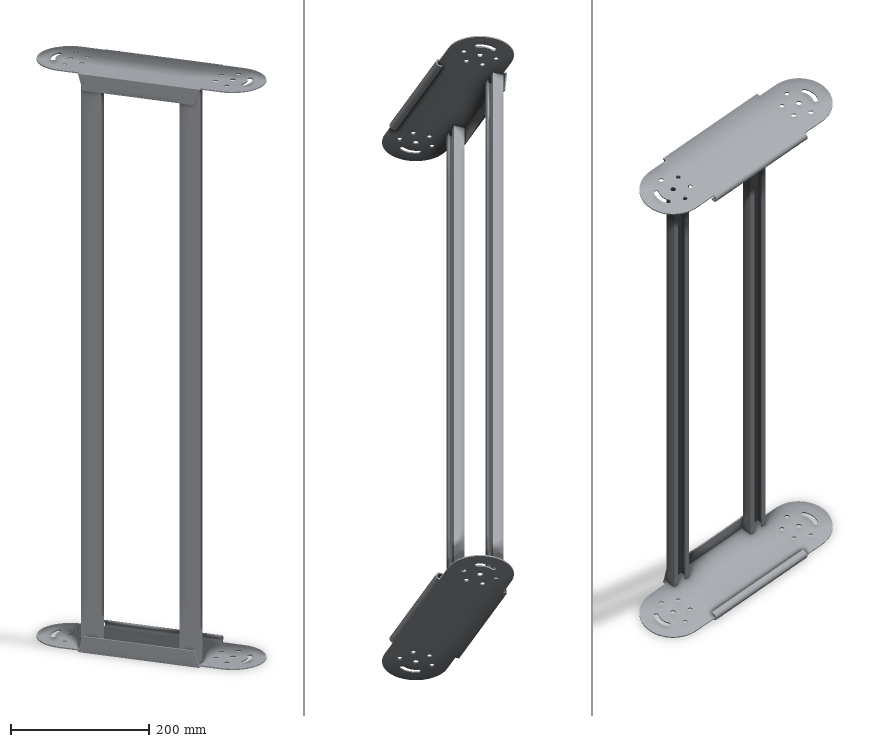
import cadquery as cq
import math

frame_length = 348.0
frame_depth = 110.0
frame_height = 899.0
sheet = 2.0
front_y = -frame_depth / 2
rear_y = frame_depth / 2

plate_width = 98.0
plate_end_x = (frame_length - plate_width) / 2

flange_root_width = 187.0
flange_tip_width = 173.0
flange_height = 25.0
flange_corner_radius = 3.0

hook_width = 182.0
hook_height = 12.0
hook_depth = 10.0
hook_bend_radius = 5.0

centre_hole_diameter = 8.0
small_hole_diameter = 6.7
hole_circle_radius = 25.0
small_hole_angles = (-90, -30, 30, 90)
slot_width = 7.0
slot_half_angle = 30

uprights_span = 182.0
upright_width = 30.0
upright_depth = 16.0
upright_lip = 7.0
flange_gap = 3.0
end_gap = 1.0


def flange():
    """Square-cornered ledge on the plate's front edge with a tapered wall hanging from it."""
    ledge = (
        cq.Workplane("XY")
        .box(flange_root_width, -front_y, sheet, centered=(True, False, False))
        .translate((0, front_y, -sheet))
    )
    wall = (
        cq.Workplane("XZ", origin=(0, front_y, 0))
        .polyline([
            (-flange_root_width / 2, 0),
            (flange_root_width / 2, 0),
            (flange_tip_width / 2, -flange_height),
            (-flange_tip_width / 2, -flange_height),
        ])
        .close()
        .extrude(-sheet)
        .edges("|Y and <Z")
        .fillet(flange_corner_radius)
    )
    return ledge.union(wall)


def hook():
    """Rear lip folded down from the plate and then forward under it."""
    inner_radius = hook_bend_radius - sheet
    bend_y = rear_y - hook_bend_radius
    lower_bend_z = hook_bend_radius - hook_height
    tip_y = rear_y - hook_depth
    return (
        cq.Workplane("YZ")
        .moveTo(0, 0)
        .lineTo(bend_y, 0)
        .radiusArc((rear_y, -hook_bend_radius), hook_bend_radius)
        .lineTo(rear_y, lower_bend_z)
        .radiusArc((bend_y, -hook_height), hook_bend_radius)
        .lineTo(tip_y, -hook_height)
        .lineTo(tip_y, sheet - hook_height)
        .lineTo(bend_y, sheet - hook_height)
        .radiusArc((rear_y - sheet, lower_bend_z), -inner_radius)
        .lineTo(rear_y - sheet, -hook_bend_radius)
        .radiusArc((bend_y, -sheet), -inner_radius)
        .lineTo(0, -sheet)
        .close()
        .extrude(hook_width / 2, both=True)
    )


def around_end(radius, angle):
    """Point at a radius and angle (degrees) around the centre of the left rounded end."""
    turn = math.radians(angle)
    return (-plate_end_x + radius * math.cos(turn), radius * math.sin(turn))


def round_holes():
    """Cutters for the centre hole and the small holes of the left rounded end."""
    centre_hole = (
        cq.Workplane("XY")
        .center(-plate_end_x, 0)
        .circle(centre_hole_diameter / 2)
        .extrude(-sheet)
    )
    small_holes = (
        cq.Workplane("XY")
        .pushPoints([around_end(hole_circle_radius, angle) for angle in small_hole_angles])
        .circle(small_hole_diameter / 2)
        .extrude(-sheet)
    )
    return centre_hole.union(small_holes)


def curved_slot():
    """Cutter for the arc slot on the hole circle, on the outer side of the left rounded end."""
    end_radius = slot_width / 2
    outer = hole_circle_radius + end_radius
    inner = hole_circle_radius - end_radius
    start = 180 - slot_half_angle
    stop = 180 + slot_half_angle
    return (
        cq.Workplane("XY")
        .moveTo(*around_end(outer, start))
        .threePointArc(around_end(outer, 180), around_end(outer, stop))
        .radiusArc(around_end(inner, stop), -end_radius)
        .threePointArc(around_end(inner, 180), around_end(inner, start))
        .radiusArc(around_end(outer, start), -end_radius)
        .close()
        .extrude(-sheet)
    )


def end_plate():
    """Upper end plate with its outer face at the top of the frame."""
    blank = cq.Workplane("XY").slot2D(frame_length, plate_width).extrude(-sheet)
    holes = round_holes().union(curved_slot())
    plate = blank.union(flange()).union(hook()).cut(holes).cut(holes.mirror("YZ"))
    return plate.translate((0, 0, frame_height / 2))


def upright(side):
    """Lipped channel between the end plates; side is -1 for left and 1 for right."""
    half_height = frame_height / 2 - sheet - end_gap
    centre_x = side * (uprights_span - upright_width) / 2
    channel_front_y = front_y + sheet + flange_gap
    channel_rear_y = channel_front_y + upright_depth
    tube = (
        cq.Workplane("XY")
        .center(centre_x, (channel_front_y + channel_rear_y) / 2)
        .rect(upright_width, upright_depth)
        .rect(upright_width - 2 * sheet, upright_depth - 2 * sheet)
        .extrude(half_height, both=True)
    )
    opening = (
        cq.Workplane("XY")
        .center(centre_x, channel_rear_y)
        .rect(upright_width - 2 * upright_lip, 2 * sheet)
        .extrude(half_height, both=True)
    )
    return tube.cut(opening)


top_plate = end_plate()
end_plates = [top_plate, top_plate.mirror("XY")]
uprights = [upright(side) for side in (-1, 1)]

result = cq.Compound.makeCompound([body.solids().val() for body in end_plates + uprights])